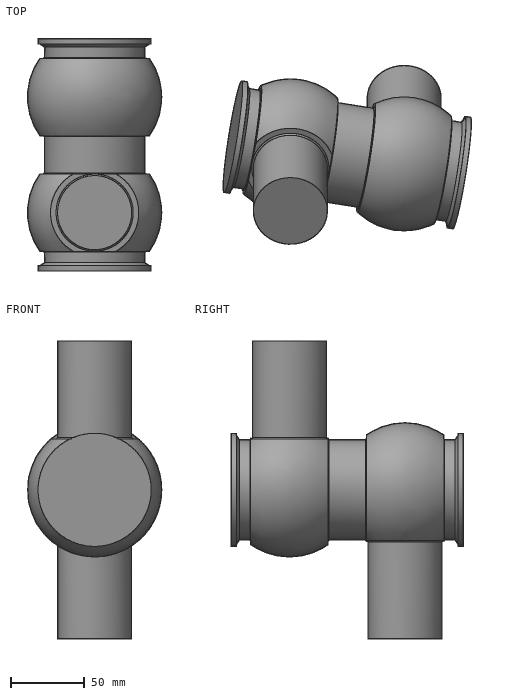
import cadquery as cq

total_length = 159.0
tube_diameter = 68.7
tube_radius = tube_diameter / 2

flange_diameter = 77.5
flange_radius = flange_diameter / 2
flange_thickness = 3.7
flange_taper_length = 2.0
flange_taper_radius = 37.5

ball_diameter = 92.0
ball_radius = ball_diameter / 2
ball_spacing = 79.1
ball_width = 53.0
branch_flat_height = 34.7

branch_diameter = 50.8
branch_radius = branch_diameter / 2
branch_reach = 102.0

collar_width = 1.0
tube_collar_height = 0.6
branch_collar_height = 1.0


def make_ferruled_tube():
    """Solid tube along Y with a tapered flange at each end."""
    end = total_length / 2
    flange_face = end - flange_thickness
    taper_start = flange_face - flange_taper_length
    profile = [
        (0, -end),
        (flange_radius, -end),
        (flange_radius, -flange_face),
        (flange_taper_radius, -flange_face),
        (tube_radius, -taper_start),
        (tube_radius, taper_start),
        (flange_taper_radius, flange_face),
        (flange_radius, flange_face),
        (flange_radius, end),
        (0, end),
    ]
    return cq.Workplane("XY").polyline(profile).close().revolve(360, (0, 0), (0, 1))


def make_collar(pipe_radius, height, base, direction):
    """Cone frustum on a flat, narrowing to the pipe in the given direction."""
    axis = cq.Vector(*direction)
    cone = cq.Solid.makeCone(pipe_radius + collar_width, pipe_radius, height, base, axis)
    return cq.Workplane(obj=cone)


def make_valve_body(y, up):
    """Ball at the given Y with its branch pipe pointing up (1) or down (-1)."""
    block_height = branch_flat_height + ball_radius
    block_middle = up * (branch_flat_height - ball_radius) / 2
    block = cq.Workplane("XY").box(ball_diameter, ball_width, block_height).translate((0, 0, block_middle))
    body = cq.Workplane("XY").sphere(ball_radius).intersect(block)
    body = body.union(cq.Workplane("XY").circle(branch_radius).extrude(up * branch_reach))
    branch_base = cq.Vector(0, 0, up * branch_flat_height)
    body = body.union(make_collar(branch_radius, branch_collar_height, branch_base, (0, 0, up)))
    for side in (-1, 1):
        base = cq.Vector(0, side * ball_width / 2, 0)
        body = body.union(make_collar(tube_radius, tube_collar_height, base, (0, side, 0)))
    return body.translate((0, y, 0))


result = make_ferruled_tube()
for side in (-1, 1):
    result = result.union(make_valve_body(side * ball_spacing / 2, -side))